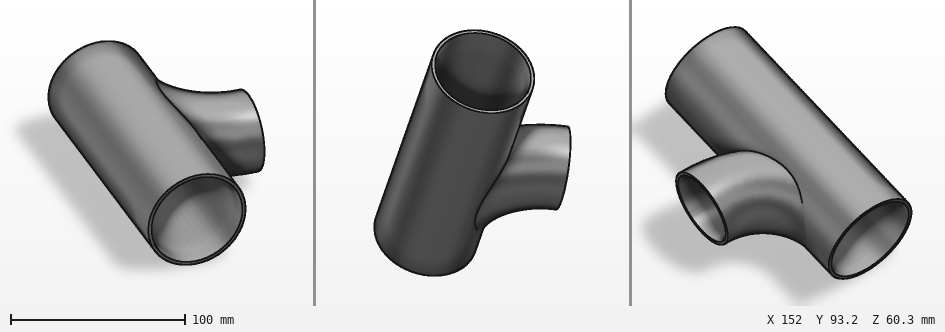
import cadquery as cq

run_length = 152.0
run_outer_diameter = 60.3
run_inner_diameter = 56.2

branch_outer_diameter = 48.3
wall = (run_outer_diameter - run_inner_diameter) / 2
branch_inner_diameter = branch_outer_diameter - 2 * wall
bend_angle = 90

overall_width = 93.2
branch_face_y = overall_width - run_outer_diameter / 2
inside_bend_radius = branch_face_y - run_outer_diameter / 2
bend_radius = inside_bend_radius + branch_outer_diameter / 2


def run_cylinder(diameter):
    """Solid cylinder over the whole length of the run."""
    return (
        cq.Workplane("YZ")
        .circle(diameter / 2)
        .extrude(run_length / 2, both=True)
    )


def elbow(diameter):
    """Solid bend from the branch face round to the inside of the run."""
    return (
        cq.Workplane("XZ", origin=(0, branch_face_y, 0))
        .circle(diameter / 2)
        .revolve(bend_angle, (-bend_radius, 1.5, 0), (-bend_radius, 0, 0))
    )


outer_body = run_cylinder(run_outer_diameter).union(elbow(branch_outer_diameter))
result = (
    outer_body
    .cut(run_cylinder(run_inner_diameter))
    .cut(elbow(branch_inner_diameter))
)